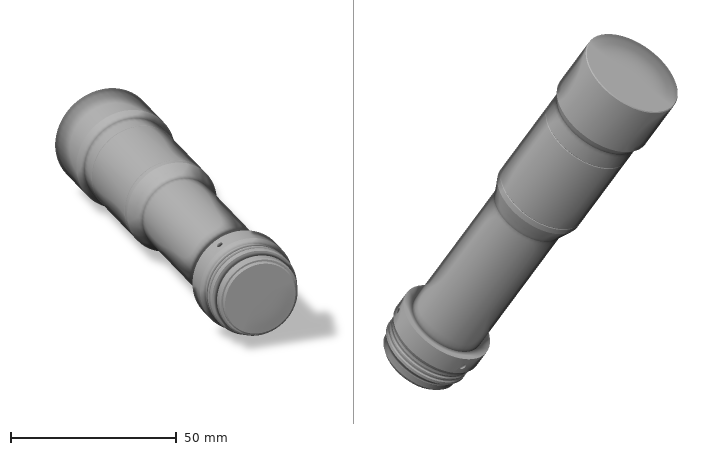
import cadquery as cq
import math

FULL_TURN = 360

TOTAL_LENGTH = 130.6
HEAD_END = 27.0
BARREL_END = 54.6
TUBE_END = 112.7

HEAD_DIAMETER = 32.0
HEAD_RADIUS = HEAD_DIAMETER / 2
BARREL_RADIUS = 14.5
TUBE_RADIUS = 12.0

HEAD_CONE_START = 17.9
HEAD_CONE_END = 20.6
FRONT_CHAMFER = 0.3

JOINT_CHAMFER = 0.2

SHOULDER_START = 56.7
SHOULDER_END = 63.0

COLLAR_RADIUS = 15.0
COLLAR_CONE_START = 119.0
RING_START = 120.5
RING_END = 125.6
RING_RADIUS = 14.0
FLANGE_START = 127.2
FLANGE_END = 129.5
FLANGE_RADIUS = 12.7
NOSE_RADIUS = 11.8
MOUNT_CHAMFER = 0.4

GROOVE_START = 121.5
GROOVE_PITCH = 1.7
GROOVE_COUNT = 2
GROOVE_WIDTH = 1.2
GROOVE_DEPTH = 0.5
GROOVE_FLANK = 0.3

SCREW_HOLE_COUNT = 3
SCREW_HOLE_DIAMETER = 2.0
SCREW_HOLE_DEPTH = COLLAR_RADIUS - TUBE_RADIUS
SCREW_HOLE_X = 116.1
FIRST_HOLE_ANGLE = 0


def revolve_about_x(profile):
    """Close a half profile, given as (x, radius), and turn it around the X axis."""
    return profile.close().revolve(FULL_TURN, (0, 0, 0), (1, 0, 0))


def make_head():
    profile = (
        cq.Workplane("XY")
        .moveTo(0, 0)
        .lineTo(0, HEAD_RADIUS - FRONT_CHAMFER)
        .lineTo(FRONT_CHAMFER, HEAD_RADIUS)
        .lineTo(HEAD_CONE_START, HEAD_RADIUS)
        .lineTo(HEAD_CONE_END, BARREL_RADIUS)
        .lineTo(HEAD_END - JOINT_CHAMFER, BARREL_RADIUS)
        .lineTo(HEAD_END, BARREL_RADIUS - JOINT_CHAMFER)
        .lineTo(HEAD_END, 0)
    )
    return revolve_about_x(profile)


def make_barrel():
    profile = (
        cq.Workplane("XY")
        .moveTo(HEAD_END, 0)
        .lineTo(HEAD_END, BARREL_RADIUS - JOINT_CHAMFER)
        .lineTo(HEAD_END + JOINT_CHAMFER, BARREL_RADIUS)
        .lineTo(BARREL_END - JOINT_CHAMFER, BARREL_RADIUS)
        .lineTo(BARREL_END, BARREL_RADIUS - JOINT_CHAMFER)
        .lineTo(BARREL_END, 0)
    )
    return revolve_about_x(profile)


def make_tube():
    profile = (
        cq.Workplane("XY")
        .moveTo(BARREL_END, 0)
        .lineTo(BARREL_END, BARREL_RADIUS - JOINT_CHAMFER)
        .lineTo(BARREL_END + JOINT_CHAMFER, BARREL_RADIUS)
        .lineTo(SHOULDER_START, BARREL_RADIUS)
        .lineTo(SHOULDER_END, TUBE_RADIUS)
        .lineTo(TUBE_END, TUBE_RADIUS)
        .lineTo(TUBE_END, 0)
    )
    return revolve_about_x(profile)


def add_ring_groove(profile, start):
    """Continue the profile through one trapezoidal groove that begins at start."""
    floor_radius = RING_RADIUS - GROOVE_DEPTH
    end = start + GROOVE_WIDTH
    return (
        profile.lineTo(start, RING_RADIUS)
        .lineTo(start + GROOVE_FLANK, floor_radius)
        .lineTo(end - GROOVE_FLANK, floor_radius)
        .lineTo(end, RING_RADIUS)
    )


def make_screw_hole(angle):
    """Blind radial hole cutter whose floor lies at the tube radius."""
    direction = cq.Vector(0, math.cos(math.radians(angle)), math.sin(math.radians(angle)))
    floor_center = cq.Vector(SCREW_HOLE_X, 0, 0) + direction * TUBE_RADIUS
    return cq.Solid.makeCylinder(SCREW_HOLE_DIAMETER / 2, SCREW_HOLE_DEPTH, floor_center, direction)


def make_camera_mount():
    profile = (
        cq.Workplane("XY")
        .moveTo(TUBE_END, 0)
        .lineTo(TUBE_END, COLLAR_RADIUS)
        .lineTo(COLLAR_CONE_START, COLLAR_RADIUS)
        .lineTo(RING_START, RING_RADIUS)
    )
    for index in range(GROOVE_COUNT):
        profile = add_ring_groove(profile, GROOVE_START + index * GROOVE_PITCH)
    profile = (
        profile.lineTo(RING_END - MOUNT_CHAMFER, RING_RADIUS)
        .lineTo(RING_END, RING_RADIUS - MOUNT_CHAMFER)
        .lineTo(RING_END, TUBE_RADIUS)
        .lineTo(FLANGE_START, TUBE_RADIUS)
        .lineTo(FLANGE_START, FLANGE_RADIUS)
        .lineTo(FLANGE_END - MOUNT_CHAMFER, FLANGE_RADIUS)
        .lineTo(FLANGE_END, FLANGE_RADIUS - MOUNT_CHAMFER)
        .lineTo(FLANGE_END, NOSE_RADIUS)
        .lineTo(TOTAL_LENGTH - MOUNT_CHAMFER, NOSE_RADIUS)
        .lineTo(TOTAL_LENGTH, NOSE_RADIUS - MOUNT_CHAMFER)
        .lineTo(TOTAL_LENGTH, 0)
    )
    mount = revolve_about_x(profile)
    for index in range(SCREW_HOLE_COUNT):
        angle = FIRST_HOLE_ANGLE + index * FULL_TURN / SCREW_HOLE_COUNT
        mount = mount.cut(cq.Workplane(make_screw_hole(angle)))
    return mount


head = make_head()
barrel = make_barrel()
tube = make_tube()
camera_mount = make_camera_mount()

result = cq.Compound.makeCompound([head.val(), barrel.val(), tube.val(), camera_mount.val()])